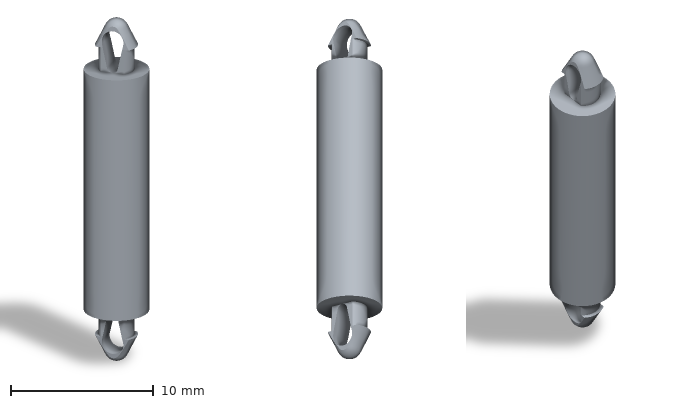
import cadquery as cq
import math

body_diameter = 4.6
body_length = 18.0
clip_height = 3.8

stem_radius = 1.25
clip_thickness = 1.8

barb_height = 1.83
barb_radius = 1.51
dome_base_height = 3.23
dome_base_radius = 0.825
tip_half_thickness = 0.69

slot_small_radius = 0.4
slot_large_radius = 0.8
slot_top_height = 3.08


def clip_profile():
    """Revolved outline of the stem, barb cone and dome, before trimming."""
    dome_rise = clip_height - dome_base_height
    dome_radius = (dome_base_radius**2 + dome_rise**2) / (2 * dome_rise)
    dome_center = clip_height - dome_radius
    mid_angle = (math.pi / 2 + math.atan2(dome_base_height - dome_center, dome_base_radius)) / 2
    dome_middle = (
        dome_radius * math.cos(mid_angle),
        dome_center + dome_radius * math.sin(mid_angle),
    )
    return (
        cq.Workplane("XZ")
        .lineTo(stem_radius, 0)
        .lineTo(stem_radius, barb_height)
        .lineTo(barb_radius, barb_height)
        .lineTo(dome_base_radius, dome_base_height)
        .threePointArc(dome_middle, (0, clip_height))
        .close()
        .revolve(360, (0, 0, 0), (0, 1, 0))
    )


def side_trim():
    """Slab with parallel sides along the stem and tapering sides along the head."""
    half_thickness = clip_thickness / 2
    return (
        cq.Workplane("YZ")
        .moveTo(-half_thickness, 0)
        .lineTo(half_thickness, 0)
        .lineTo(half_thickness, barb_height)
        .lineTo(tip_half_thickness, clip_height)
        .lineTo(-tip_half_thickness, clip_height)
        .lineTo(-half_thickness, barb_height)
        .close()
        .extrude(barb_radius, both=True)
    )


def teardrop_slot():
    """Two round ends joined by their common tangents, running through along Y."""
    large_center = slot_top_height - slot_large_radius
    small_center = slot_small_radius
    tangent_sin = (slot_large_radius - slot_small_radius) / (large_center - small_center)
    tangent_cos = math.sqrt(1 - tangent_sin**2)
    small_x = slot_small_radius * tangent_cos
    small_z = small_center - slot_small_radius * tangent_sin
    large_x = slot_large_radius * tangent_cos
    large_z = large_center - slot_large_radius * tangent_sin
    return (
        cq.Workplane("XZ")
        .moveTo(small_x, small_z)
        .lineTo(large_x, large_z)
        .threePointArc((0, slot_top_height), (-large_x, large_z))
        .lineTo(-small_x, small_z)
        .threePointArc((0, 0), (small_x, small_z))
        .close()
        .extrude(clip_thickness, both=True)
    )


def snap_clip():
    """Clip pointing up, with its foot on the XY plane."""
    return clip_profile().intersect(side_trim()).cut(teardrop_slot())


body = cq.Workplane("XY").circle(body_diameter / 2).extrude(body_length)
top_clip = snap_clip().translate((0, 0, body_length))
bottom_clip = snap_clip().mirror("XY")

result = body.union(top_clip).union(bottom_clip)